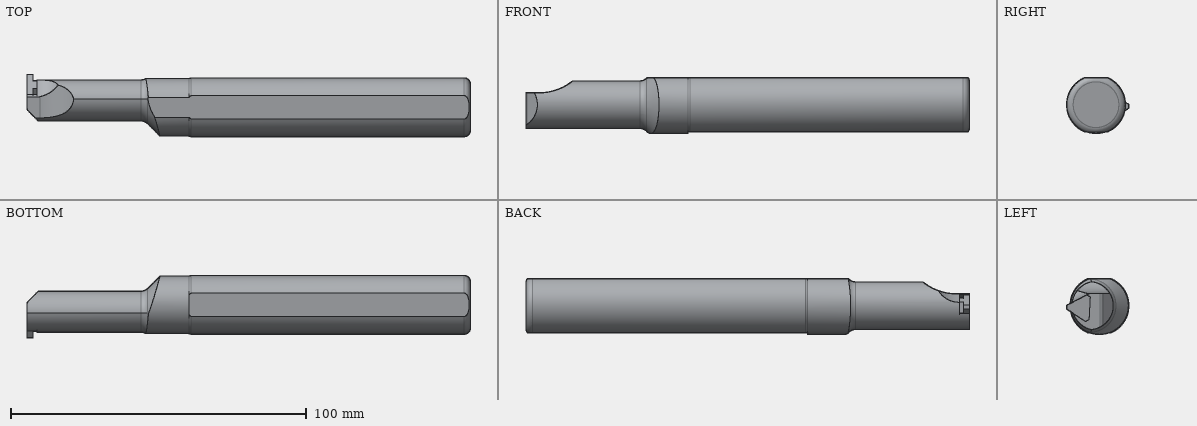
import cadquery as cq
import math

LENGTH = 150.0

SHANK_DIAMETER = 20.0
SHANK_RADIUS = SHANK_DIAMETER / 2
COLLAR_RADIUS = 9.7
COLLAR_END = 54.7
SHANK_START = 55.5
REAR_FILLET = 2.2
FLAT_HEIGHT = 9.1

FRONT_ARC_Y, FRONT_ARC_RADIUS = 1.0, 8.2
BACK_ARC_Y, BACK_ARC_RADIUS = 3.5, 8.1
CONE_START = 39.9
CONE_FILLET = 3.1
CONE_ANGLE = math.radians(45)

SCOOP_FLOOR_Z = 4.0
SCOOP_FLAT_LENGTH = 4.5
SCOOP_RADIUS = 18.0
FLANK_RADIUS = 10.5
CORNER_CHAMFER = 3.9
CORNER_BLEND_RADIUS = 1.3

INSERT_Y, INSERT_Z = 6.3, -0.7
INSERT_TILT = 3.0
INSERT_INRADIUS = 3.0
INSERT_CIRCUMRADIUS = 2 * INSERT_INRADIUS
TIP_DISTANCE = 4.8
HUB_CORNER_DISTANCE = 2.7
TIP_THICKNESS = 2.1
INSERT_THICKNESS = 3.5

CUT_SIZE = 30.0
FLANK_ANGLE = 30 - INSERT_TILT


def make_shank():
    rear_mid = REAR_FILLET * (1 - math.sin(math.pi / 4))
    profile = (
        cq.Workplane("XY")
        .moveTo(COLLAR_END, 0)
        .lineTo(COLLAR_END, COLLAR_RADIUS)
        .lineTo(SHANK_START, SHANK_RADIUS)
        .lineTo(LENGTH - REAR_FILLET, SHANK_RADIUS)
        .threePointArc((LENGTH - rear_mid, SHANK_RADIUS - rear_mid), (LENGTH, SHANK_RADIUS - REAR_FILLET))
        .lineTo(LENGTH, 0)
        .close()
    )
    return profile.revolve(360, (0, 0, 0), (1, 0, 0))


def make_neck_envelope(axis_y, radius):
    """A cylinder that flares through a concave fillet into a 45 degree cone, about its own axis."""
    tangent = CONE_FILLET * math.tan(CONE_ANGLE / 2)
    arc_start = CONE_START - tangent
    half_angle = CONE_ANGLE / 2
    arc_mid = (
        arc_start + CONE_FILLET * math.sin(half_angle),
        radius + CONE_FILLET * (1 - math.cos(half_angle)),
    )
    arc_end = (
        arc_start + CONE_FILLET * math.sin(CONE_ANGLE),
        radius + CONE_FILLET * (1 - math.cos(CONE_ANGLE)),
    )
    cone_end = CONE_START + CUT_SIZE - radius
    profile = (
        cq.Workplane("XY")
        .lineTo(0, radius)
        .lineTo(arc_start, radius)
        .threePointArc(arc_mid, arc_end)
        .lineTo(cone_end, CUT_SIZE)
        .lineTo(cone_end, 0)
        .close()
    )
    return profile.revolve(360, (0, 0, 0), (1, 0, 0)).translate((0, axis_y, 0))


def make_neck_and_collar():
    collar = cq.Workplane("YZ").circle(COLLAR_RADIUS).extrude(COLLAR_END)
    front = make_neck_envelope(FRONT_ARC_Y, FRONT_ARC_RADIUS)
    back = make_neck_envelope(BACK_ARC_Y, BACK_ARC_RADIUS)
    return collar.intersect(front).intersect(back)


def make_flat_cutter(start, side):
    """Block above (side = 1) or below (side = -1) the bar, from X = start to the rear."""
    block = cq.Workplane("XY").box(LENGTH - start, CUT_SIZE, CUT_SIZE, centered=(False, True, True))
    return block.translate((start, 0, side * (FLAT_HEIGHT + CUT_SIZE / 2)))


def make_scoop_cutter(flat_length, radius):
    """Space above a floor at Z = 0 that curves up to vertical, through the width of the bar."""
    diagonal = radius * math.sin(math.pi / 4)
    profile = (
        cq.Workplane("XZ")
        .lineTo(flat_length, 0)
        .threePointArc((flat_length + diagonal, radius - diagonal), (flat_length + radius, radius))
        .lineTo(0, radius)
        .close()
    )
    return profile.extrude(CUT_SIZE / 2, both=True)


def insert_point(distance, angle):
    """Y, Z of a point at a distance and angle (degrees) from the insert centre."""
    turn = math.radians(angle + INSERT_TILT)
    return (INSERT_Y + distance * math.cos(turn), INSERT_Z + distance * math.sin(turn))


def make_trimmed_triangle(corner_distance, start, end):
    """Equilateral prism from X = start to end, with each corner cut square at corner_distance."""
    half_width = (INSERT_CIRCUMRADIUS - corner_distance) * math.tan(math.radians(30))
    reach = math.hypot(corner_distance, half_width)
    spread = math.degrees(math.atan2(half_width, corner_distance))
    points = []
    for corner_angle in (0, 120, 240):
        points.append(insert_point(reach, corner_angle - spread))
        points.append(insert_point(reach, corner_angle + spread))
    return cq.Workplane("YZ").workplane(offset=start).polyline(points).close().extrude(end - start)


def make_corner_cutter(nose_y):
    """45 degree wedge on the -Y corner, its edge with the end face rounded."""
    chamfer_start = nose_y + CORNER_CHAMFER
    setback = CORNER_BLEND_RADIUS * math.tan(math.pi / 8)
    leg = setback * math.sin(math.pi / 4)
    blend_mid = (
        CORNER_BLEND_RADIUS * (1 - math.cos(math.pi / 8)),
        chamfer_start + setback - CORNER_BLEND_RADIUS * math.sin(math.pi / 8),
    )
    return (
        cq.Workplane("XY")
        .workplane(offset=-CUT_SIZE / 2)
        .moveTo(0, chamfer_start + setback)
        .threePointArc(blend_mid, (leg, chamfer_start - leg))
        .lineTo(CORNER_CHAMFER, nose_y)
        .lineTo(0, nose_y)
        .close()
        .extrude(CUT_SIZE)
    )


def make_holder():
    holder = make_neck_and_collar().union(make_shank())
    holder = holder.cut(make_flat_cutter(0, 1))
    holder = holder.cut(make_flat_cutter(COLLAR_END, -1))

    scoop = make_scoop_cutter(SCOOP_FLAT_LENGTH, SCOOP_RADIUS)
    holder = holder.cut(scoop.translate((0, 0, SCOOP_FLOOR_Z)))
    flank_y, flank_z = insert_point(INSERT_INRADIUS, 60)
    flank = make_scoop_cutter(INSERT_THICKNESS, FLANK_RADIUS)
    flank = flank.rotate((0, 0, 0), (1, 0, 0), -FLANK_ANGLE)
    holder = holder.cut(flank.translate((0, flank_y, flank_z)))

    holder = holder.cut(make_corner_cutter(BACK_ARC_Y - BACK_ARC_RADIUS))
    seat = make_trimmed_triangle(TIP_DISTANCE, 0, INSERT_THICKNESS)
    return holder.cut(seat)


def make_insert():
    """Thin triangle with three blunt tips, thickened in the middle where it rests on the seat."""
    tips = make_trimmed_triangle(TIP_DISTANCE, 0, TIP_THICKNESS)
    hub = make_trimmed_triangle(HUB_CORNER_DISTANCE, TIP_THICKNESS, INSERT_THICKNESS)
    return tips.union(hub)


holder = make_holder()
insert = make_insert()
result = cq.Compound.makeCompound([holder.val(), insert.val()])